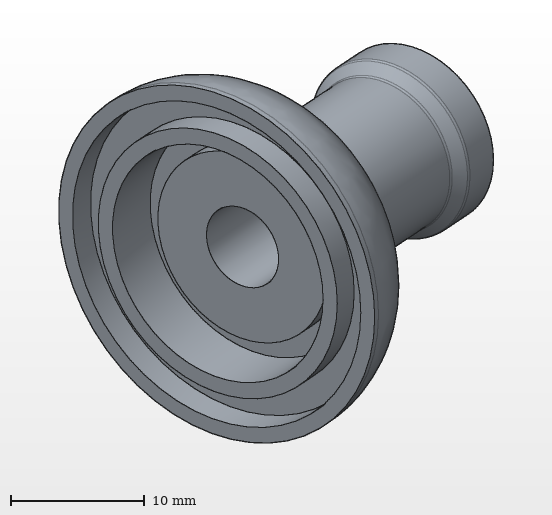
import cadquery as cq
import math

length = 25.4
bore_radius = 3.3

stem_radius = 6.28
head_radius = 7.27
head_length = 3.15
head_taper_length = head_radius - stem_radius
head_edge_blend = 0.3

head_start = length - head_length
taper_start = head_start - head_taper_length

cup_radius = 14.48
rim_band = 0.5
dome_radius = cup_radius - stem_radius
cup_height = rim_band + dome_radius

groove_outer_radius = 13.2
groove_inner_radius = 10.95
groove_depth = 2.32
rib_setback = 0.15
recess_radius = 9.65
recess_depth = 4.98
pad_radius = 7.75
pad_depth = 3.33


def revolve_about_y(profile):
    return profile.close().revolve(360, (0, 0, 0), (0, 1, 0))


def make_cup():
    dome_mid = (
        stem_radius + dome_radius * math.cos(math.pi / 4),
        rim_band + dome_radius * math.sin(math.pi / 4),
    )
    profile = (
        cq.Workplane("XY")
        .lineTo(cup_radius, 0)
        .lineTo(cup_radius, rim_band)
        .threePointArc(dome_mid, (stem_radius, cup_height))
        .lineTo(0, cup_height)
    )
    return revolve_about_y(profile)


def make_stem():
    profile = (
        cq.Workplane("XY")
        .moveTo(0, cup_height)
        .lineTo(stem_radius, cup_height)
        .lineTo(stem_radius, taper_start)
        .lineTo(head_radius, head_start)
        .lineTo(head_radius, length)
        .lineTo(0, length)
    )
    stem = revolve_about_y(profile)
    tolerance = 0.03
    taper_zone = cq.selectors.BoxSelector(
        (-cup_radius, taper_start - tolerance, -cup_radius),
        (cup_radius, head_start + tolerance, cup_radius),
        boundingbox=True,
    )
    return stem.edges(taper_zone).edges("%CIRCLE").fillet(head_edge_blend)


def make_face_cavity():
    profile = (
        cq.Workplane("XY")
        .lineTo(groove_outer_radius, 0)
        .lineTo(groove_outer_radius, groove_depth)
        .lineTo(groove_inner_radius, groove_depth)
        .lineTo(groove_inner_radius, rib_setback)
        .lineTo(recess_radius, rib_setback)
        .lineTo(recess_radius, recess_depth)
        .lineTo(pad_radius, recess_depth)
        .lineTo(pad_radius, pad_depth)
        .lineTo(0, pad_depth)
    )
    return revolve_about_y(profile)


def make_bore():
    return cq.Workplane("XZ").circle(bore_radius).extrude(-length)


result = make_cup().union(make_stem()).cut(make_face_cavity()).cut(make_bore())